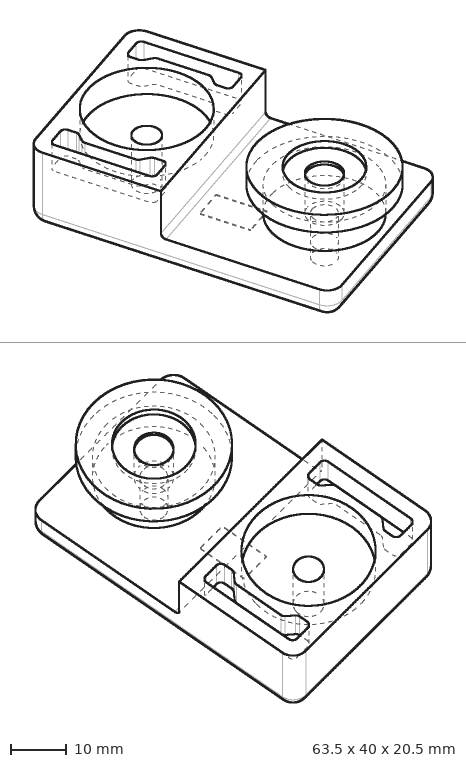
import cadquery as cq

length = 62.05
width = 40.0
height = 17.0
plate_thickness = 6.5
block_length = 27.0
outer_radius = 3.0
step_fillet = 1.0

pocket_x = block_length / 2
pocket_diameter = 24.0
pocket_depth = 6.0
block_hole_diameter = 5.5

slot_half_length = 10.6
slot_outer_y = width / 2 - outer_radius
slot_middle_width = 3.1
slot_end_width = 5.0
slot_middle_half_length = 5.6
slot_corner_radius = 1.0
slot_depth = pocket_depth

pad_length = 10.3
pad_width = 6.2
pad_height = 0.2

flange_diameter = 28.0
flange_thickness = 4.0
hub_diameter = 22.0
knob_x = 63.5 - flange_diameter / 2
recess_diameter = 15.0
recess_depth = 1.5

head_diameter = 7.05
head_setback = 0.7
shank_diameter = 5.0
shank_projection = 3.5


def cylinder(x, bottom, top, diameter):
    """Vertical cylinder centred on the line y = 0."""
    return cq.Workplane("XY", origin=(x, 0, bottom)).circle(diameter / 2).extrude(top - bottom)


def make_slot():
    """Cutter for the slot on the +Y side of the pocket."""
    middle_y = slot_outer_y - slot_middle_width
    end_y = slot_outer_y - slot_end_width
    shoulder_half_length = slot_middle_half_length + middle_y - end_y
    outline = [
        (-slot_half_length, slot_outer_y),
        (slot_half_length, slot_outer_y),
        (slot_half_length, end_y),
        (shoulder_half_length, end_y),
        (slot_middle_half_length, middle_y),
        (-slot_middle_half_length, middle_y),
        (-shoulder_half_length, end_y),
        (-slot_half_length, end_y),
    ]
    slot = (
        cq.Workplane("XY", origin=(pocket_x, 0, height - slot_depth))
        .polyline(outline).close().extrude(slot_depth)
    )
    return slot.edges("|Z").fillet(slot_corner_radius)


def make_housing():
    body = cq.Workplane("XY").box(length, width, height, centered=(False, True, False))
    body = body.edges("|Z").fillet(outer_radius)
    body = body.faces("<Z").edges().fillet(outer_radius)
    clearance = (
        cq.Workplane("XY", origin=(block_length, 0, plate_thickness))
        .box(length - block_length, width, height - plate_thickness, centered=(False, True, False))
        .edges("|Y and <X and <Z").fillet(step_fillet)
    )
    body = body.cut(clearance)

    body = body.cut(cylinder(pocket_x, height - pocket_depth, height, pocket_diameter))
    body = body.cut(cylinder(pocket_x, 0, height, block_hole_diameter))
    body = body.cut(cylinder(knob_x, 0, plate_thickness, shank_diameter))
    slot = make_slot()
    for cutter in (slot, slot.mirror("XZ")):
        body = body.cut(cutter)

    pad = (
        cq.Workplane("XY", origin=(length / 2, 0, -pad_height))
        .rect(pad_length, pad_width).extrude(pad_height)
    )
    return body.union(pad)


def make_knob():
    flange_bottom = height - flange_thickness
    hub = cylinder(knob_x, plate_thickness, flange_bottom, hub_diameter)
    flange = cylinder(knob_x, flange_bottom, height, flange_diameter)
    recess = cylinder(knob_x, height - recess_depth, height, recess_diameter)
    bore = cylinder(knob_x, plate_thickness, height, head_diameter)
    return hub.union(flange).cut(recess).cut(bore)


def make_pin():
    head_top = height - recess_depth - head_setback
    head = cylinder(knob_x, plate_thickness, head_top, head_diameter)
    shank = cylinder(knob_x, -shank_projection, plate_thickness, shank_diameter)
    return head.union(shank)


housing = make_housing()
knob = make_knob()
pin = make_pin()

result = cq.Compound.makeCompound([body.solids().val() for body in (housing, knob, pin)])